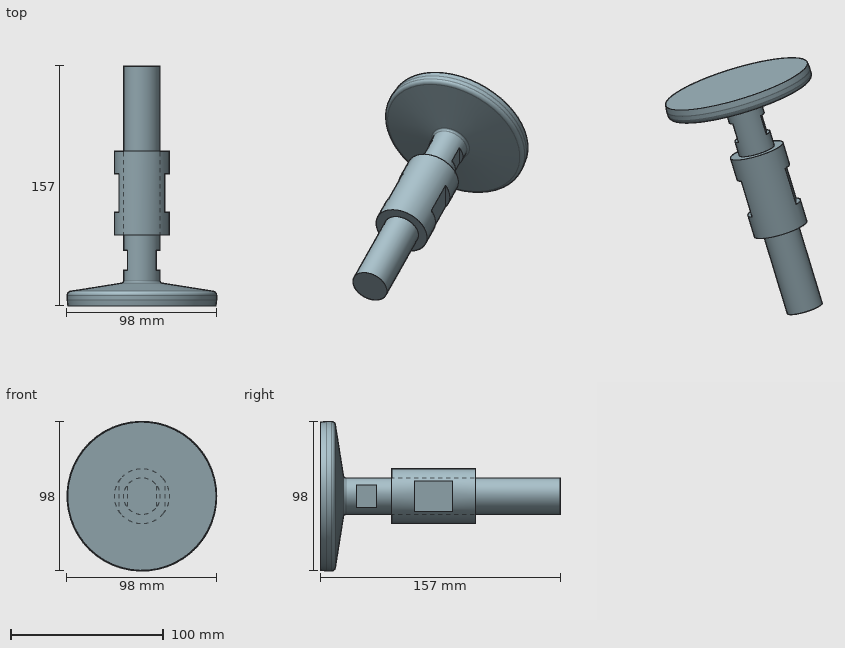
import cadquery as cq
import math


foot_diameter = 97.98
foot_radius = foot_diameter / 2
base_radius = 48.5
widest_height = 4.1
shoulder_height = 7.1
shoulder_fillet = 2.8
cone_angle = math.radians(9.0)
cone_normal = math.pi / 2 - cone_angle

stem_diameter = 24.0
stem_radius = stem_diameter / 2
neck_fillet = 1.5
total_length = 157.0
stem_flat_width = 19.0
stem_flat_start = 23.6
stem_flat_length = 13.0

sleeve_diameter = 36.0
sleeve_start = 46.5
sleeve_length = 55.0
sleeve_flat_width = 30.0
sleeve_flat_length = 25.0
sleeve_flat_start = sleeve_start + (sleeve_length - sleeve_flat_length) / 2


def cut_flats(body, diameter, width, start, length):
    """Mill two opposite flats, facing -X and +X, into a round body."""
    depth = (diameter - width) / 2
    for side in (-1, 1):
        cutter = cq.Workplane("XY").box(depth, length, diameter).translate(
            (side * (width + depth) / 2, start + length / 2, 0)
        )
        body = body.cut(cutter)
    return body


def point_at(center, radius, angle):
    """Point on a circle at the given angle."""
    return (center[0] + radius * math.cos(angle), center[1] + radius * math.sin(angle))


def make_foot():
    """Foot plate and stem, turned as one piece, with wrench flats low on the stem."""
    shoulder_center = (foot_radius - shoulder_fillet, shoulder_height)
    cone_bottom = point_at(shoulder_center, shoulder_fillet, cone_normal)
    neck_center_x = stem_radius + neck_fillet
    cone_top_x = neck_center_x - neck_fillet * math.cos(cone_normal)
    cone_top_y = cone_bottom[1] + (cone_bottom[0] - cone_top_x) * math.tan(cone_angle)
    neck_center = (neck_center_x, cone_top_y + neck_fillet * math.sin(cone_normal))
    foot = (
        cq.Workplane("XY")
        .lineTo(base_radius, 0)
        .lineTo(foot_radius, widest_height)
        .lineTo(foot_radius, shoulder_height)
        .threePointArc(point_at(shoulder_center, shoulder_fillet, cone_normal / 2), cone_bottom)
        .lineTo(cone_top_x, cone_top_y)
        .threePointArc(
            point_at(neck_center, -neck_fillet, cone_normal / 2),
            (stem_radius, neck_center[1]),
        )
        .lineTo(stem_radius, total_length)
        .lineTo(0, total_length)
        .close()
        .revolve(360, (0, 0, 0), (0, 1, 0))
    )
    return cut_flats(foot, stem_diameter, stem_flat_width, stem_flat_start, stem_flat_length)


def make_sleeve():
    """Plain sleeve fitted around the stem, with wrench flats at mid-length."""
    sleeve = (
        cq.Workplane("XZ", origin=(0, sleeve_start, 0))
        .circle(sleeve_diameter / 2)
        .circle(stem_radius)
        .extrude(-sleeve_length)
    )
    return cut_flats(sleeve, sleeve_diameter, sleeve_flat_width, sleeve_flat_start, sleeve_flat_length)


foot = make_foot()
sleeve = make_sleeve()
result = cq.Compound.makeCompound([foot.val(), sleeve.val()])